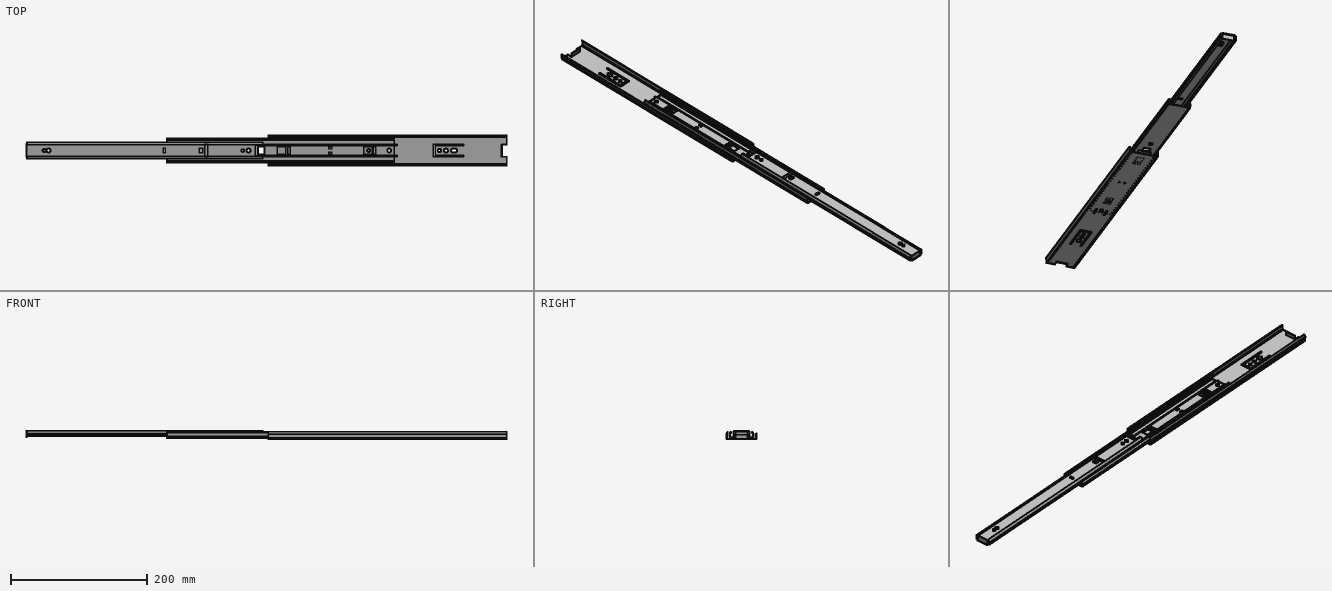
import cadquery as cq
import math


total_length = 705.9
total_height = 12.7
sheet = 1.2
floor_gap = 0.3
pilot_diameter = 4.4
screw_diameter = 5.6
window_half = 5.3

outer_start = 355.4
outer_base_half = 22.0
outer_foot_half = 22.35
outer_foot_height = 2.6
outer_half_width = 22.7
outer_inside_half = 21.0
rim_height = 8.6
rim_inside_height = 8.3
lip_shoulder_height = 7.7
lip_root_half = 22.4
lip_tip_half = 20.3
lip_inside_height = 9.0
lip_height = 11.3

slit_inner = 7.2
slit_outer = 9.0
front_slit_start = 532.0
front_slit_end = 544.5
tongue_start = 597.8
tongue_end = 642.0
tongue_gap = 2.6
tongue_pilot_x = 607.0
tongue_screw_x = 616.5
tongue_slot_x = 628.4
tongue_slot_length = 8.8
end_notch_start = 699.0
end_tab_half = 8.8
end_tab_height = 7.0

middle_start = 206.5
middle_end = 540.5
middle_half_width = 17.95
race_radius = 5.0
race_height = 6.6
race_foot_angle = -35.0
race_tip_angle = 57.0
middle_base_half = 17.0
middle_base = sheet + floor_gap
middle_floor = middle_base + sheet
latch_hole_start = 340.5
latch_hole_end = 350.0

inner_end = 347.8
inner_web_end = 336.5
inner_half_width = 12.3
shoulder_radius = 2.8
inner_bottom = 4.6
inner_inside_half = 8.7
tail_notch_half = 7.9
groove_top = 8.2
groove_bottom = 5.8
groove_depth = 0.5
front_tab_half = 9.4
front_tab_bottom = 3.2
crease_start = 262.0
crease_width = 4.4
crease_depth = 0.3
inner_pilot_xs = (26.6, 317.9)
front_screw_x = 33.0
rear_screw_x = 326.7
slot_half_width = 3.2
web_slots = ((201.5, 204.0), (254.0, 259.0))

strip_start = latch_hole_end
strip_half_width = 9.4
strip_top_half = 7.0
strip_height = 0.8
strip_windows = ((368.5, 381.0), (384.0, 388.0), (496.0, 508.0), (510.0, 513.0))
side_window_start = 444.5
side_window_end = 449.0
side_window_inner = 2.6
strip_screw_x = 533.2
floor_pilot_x = 503.0


def extrude_profile(outline, start, end):
    """Closes a YZ outline and extrudes it along X from start to end."""
    return outline.close().extrude(end - start).translate((start, 0, 0))


def block(start, end, half_width, bottom=0, top=total_height):
    """A block symmetric about the centre plane."""
    solid = cq.Workplane("XY").box(end - start, 2 * half_width, top - bottom, centered=(False, True, False))
    return solid.translate((start, 0, bottom))


def block_pair(start, end, inner_half, outer_half):
    """Two full-height blocks mirrored about the centre plane."""
    return block(start, end, outer_half).cut(block(start, end, inner_half))


def drill(x, diameter):
    """A full-height cylinder on the centre plane."""
    return cq.Workplane("XY").center(x, 0).circle(diameter / 2).extrude(total_height)


def cut_all(body, cutters):
    for cutter in cutters:
        body = body.cut(cutter)
    return body


def outer_outline():
    """A channel with a plain wall at +Y and a wall with an inclined lip at -Y."""
    corner_half = outer_inside_half - sheet
    return (
        cq.Workplane("YZ")
        .moveTo(-outer_base_half, 0)
        .lineTo(outer_base_half, 0)
        .lineTo(outer_foot_half, outer_foot_height)
        .lineTo(outer_half_width, rim_height)
        .lineTo(outer_inside_half, rim_inside_height)
        .lineTo(outer_inside_half, 2 * sheet)
        .lineTo(corner_half, sheet)
        .lineTo(-corner_half, sheet)
        .lineTo(-outer_inside_half, 2 * sheet)
        .lineTo(-outer_inside_half, lip_inside_height)
        .lineTo(-lip_tip_half, lip_height)
        .lineTo(-lip_root_half, lip_shoulder_height)
        .lineTo(-outer_half_width, lip_shoulder_height)
        .lineTo(-outer_foot_half, outer_foot_height)
    )


def make_outer():
    body = extrude_profile(outer_outline(), outer_start, total_length)
    slot = cq.Workplane("XY").center(tongue_slot_x, 0).slot2D(tongue_slot_length, screw_diameter)
    body = cut_all(
        body,
        [
            block_pair(front_slit_start, front_slit_end, slit_inner, slit_outer),
            block_pair(tongue_start, tongue_end, slit_inner, slit_outer),
            block(tongue_start, tongue_start + tongue_gap, slit_outer),
            drill(floor_pilot_x, pilot_diameter),
            drill(strip_screw_x, screw_diameter),
            drill(tongue_pilot_x, pilot_diameter),
            drill(tongue_screw_x, screw_diameter),
            slot.extrude(total_height),
            block(end_notch_start, total_length, end_tab_half),
        ],
    )
    end_tab = block(end_notch_start - sheet, end_notch_start, end_tab_half, 0, end_tab_height)
    return body.union(end_tab)


def race_point(radius, angle, side):
    """A point on the ball race of the middle rail; side is +1 or -1."""
    turn = math.radians(angle)
    centre_y = middle_half_width - race_radius
    return (side * (centre_y + radius * math.cos(turn)), race_height + radius * math.sin(turn))


def middle_outline():
    """A channel whose walls curl inward as ball races."""
    outside = race_radius
    inside = race_radius - sheet
    foot = race_foot_angle
    tip = race_tip_angle
    halfway = (foot + tip) / 2
    corner_half = middle_base_half - sheet
    return (
        cq.Workplane("YZ")
        .moveTo(-middle_base_half, middle_base)
        .lineTo(middle_base_half, middle_base)
        .lineTo(*race_point(outside, foot, 1))
        .threePointArc(race_point(outside, halfway, 1), race_point(outside, tip, 1))
        .lineTo(*race_point(inside, tip, 1))
        .threePointArc(race_point(inside, halfway, 1), race_point(inside, foot, 1))
        .lineTo(corner_half, middle_floor)
        .lineTo(-corner_half, middle_floor)
        .lineTo(*race_point(inside, foot, -1))
        .threePointArc(race_point(inside, halfway, -1), race_point(inside, tip, -1))
        .lineTo(*race_point(outside, tip, -1))
        .threePointArc(race_point(outside, halfway, -1), race_point(outside, foot, -1))
    )


def strip_cutters():
    """The openings that the guide strip and the floor of the middle rail share."""
    cutters = [block(start, end, window_half) for start, end in strip_windows]
    cutters.append(block_pair(side_window_start, side_window_end, side_window_inner, window_half))
    cutters.append(drill(strip_screw_x, screw_diameter))
    return cutters


def make_middle():
    body = extrude_profile(middle_outline(), middle_start, middle_end)
    latch_hole = block(latch_hole_start, latch_hole_end, window_half)
    screw_hole = drill(rear_screw_x, screw_diameter)
    return cut_all(body, [latch_hole, screw_hole] + strip_cutters())


def inner_outline():
    """A downward-open channel with rounded shoulders and grooved flanks."""
    half = inner_half_width
    flat_half = half - shoulder_radius
    flank_top = total_height - shoulder_radius
    bulge = shoulder_radius * math.sqrt(0.5)
    groove_half = half - groove_depth
    groove_middle = (groove_top + groove_bottom) / 2
    web_underside = total_height - sheet
    return (
        cq.Workplane("YZ")
        .moveTo(-half, inner_bottom)
        .lineTo(-half, groove_bottom)
        .threePointArc((-groove_half, groove_middle), (-half, groove_top))
        .lineTo(-half, flank_top)
        .threePointArc((-flat_half - bulge, flank_top + bulge), (-flat_half, total_height))
        .lineTo(flat_half, total_height)
        .threePointArc((flat_half + bulge, flank_top + bulge), (half, flank_top))
        .lineTo(half, groove_top)
        .threePointArc((groove_half, groove_middle), (half, groove_bottom))
        .lineTo(half, inner_bottom)
        .lineTo(inner_inside_half, inner_bottom)
        .lineTo(inner_inside_half, web_underside)
        .lineTo(-inner_inside_half, web_underside)
        .lineTo(-inner_inside_half, inner_bottom)
    )


def make_inner():
    body = extrude_profile(inner_outline(), sheet, inner_end)
    body = body.union(block(0, sheet, front_tab_half, front_tab_bottom))
    flat_half = inner_half_width - shoulder_radius
    crease_end = crease_start + crease_width
    cutters = [
        block(inner_web_end, inner_end, tail_notch_half),
        block(crease_start, crease_end, flat_half, total_height - crease_depth),
        drill(front_screw_x, screw_diameter),
        drill(rear_screw_x, screw_diameter),
    ]
    cutters += [drill(x, pilot_diameter) for x in inner_pilot_xs]
    cutters += [block(start, end, slot_half_width, inner_bottom) for start, end in web_slots]
    return cut_all(body, cutters)


def make_strip():
    """A flat strip with bevelled long edges, lying on the floor of the middle rail."""
    strip_top = middle_floor + strip_height
    outline = (
        cq.Workplane("YZ")
        .moveTo(-strip_half_width, middle_floor)
        .lineTo(strip_half_width, middle_floor)
        .lineTo(strip_top_half, strip_top)
        .lineTo(-strip_top_half, strip_top)
    )
    return cut_all(extrude_profile(outline, strip_start, middle_end), strip_cutters())


outer = make_outer()
middle = make_middle()
inner = make_inner()
strip = make_strip()

result = cq.Compound.makeCompound([outer.val(), middle.val(), inner.val(), strip.val()])